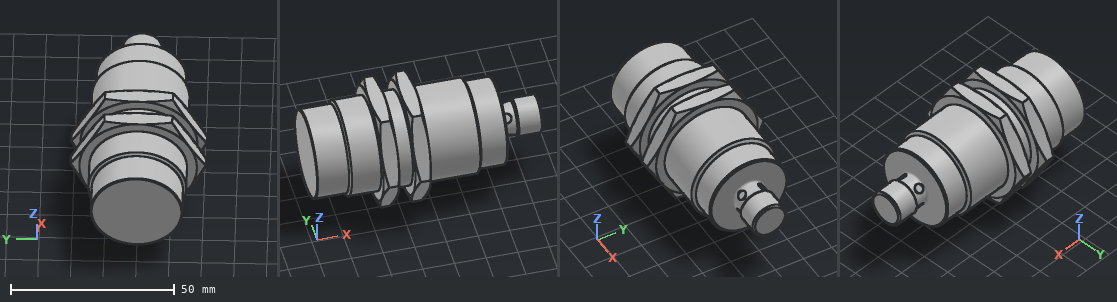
import cadquery as cq
import math

total_length = 73.5

cap_diameter = 28.0
cap_length = 10.1
cap_edge_chamfer = 0.2

barrel_diameter = 30.0
barrel_end = 52.0
barrel_chamfer_length = 0.65

sleeve_diameter = 27.5
sleeve_end = 60.6
sleeve_chamfer = 0.45

neck_diameter = 10.6
neck_fillet = 0.8
plug_diameter = 12.0
plug_length = 7.6
plug_chamfer_length = 0.45

light_count = 4
light_diameter = 3.0
light_edge_gap = 0.45
light_seat_height = 5.0

nut_width = 36.0
nut_thickness = 5.0
nut_starts = (20.0, 30.0)
nut_chamfer_angle = 20.0


def make_body():
    """Turned body: half outline in the XY plane, revolved about X."""
    cap_radius = cap_diameter / 2
    barrel_radius = barrel_diameter / 2
    sleeve_radius = sleeve_diameter / 2
    neck_radius = neck_diameter / 2
    plug_radius = plug_diameter / 2
    plug_start = total_length - plug_length
    fillet_middle = neck_fillet * (1 - math.sqrt(0.5))
    outline = (
        cq.Workplane("XY")
        .moveTo(0, 0)
        .lineTo(0, cap_radius - cap_edge_chamfer)
        .lineTo(cap_edge_chamfer, cap_radius)
        .lineTo(cap_length, cap_radius)
        .lineTo(cap_length + barrel_chamfer_length, barrel_radius)
        .lineTo(barrel_end - barrel_chamfer_length, barrel_radius)
        .lineTo(barrel_end, sleeve_radius)
        .lineTo(sleeve_end - sleeve_chamfer, sleeve_radius)
        .lineTo(sleeve_end, sleeve_radius - sleeve_chamfer)
        .lineTo(sleeve_end, neck_radius + neck_fillet)
        .threePointArc(
            (sleeve_end + fillet_middle, neck_radius + fillet_middle),
            (sleeve_end + neck_fillet, neck_radius),
        )
        .lineTo(plug_start - plug_chamfer_length, neck_radius)
        .lineTo(plug_start, plug_radius)
        .lineTo(total_length - plug_chamfer_length, plug_radius)
        .lineTo(total_length, neck_radius)
        .lineTo(total_length, 0)
        .close()
    )
    return outline.revolve(360, (0, 0, 0), (1, 0, 0))


def make_nut(start):
    """Hexagonal nut with both faces chamfered down to a circle as wide as the flats."""
    corner_radius = nut_width / 2 / math.cos(math.pi / 6)
    face_radius = nut_width / 2
    chamfer_length = (corner_radius - face_radius) * math.tan(math.radians(nut_chamfer_angle))
    end = start + nut_thickness
    hexagon = (
        cq.Workplane("YZ", origin=(start, 0, 0))
        .polygon(6, 2 * corner_radius)
        .extrude(nut_thickness)
    )
    chamfered_disc = (
        cq.Workplane("XY")
        .moveTo(start, 0)
        .lineTo(start, face_radius)
        .lineTo(start + chamfer_length, corner_radius)
        .lineTo(end - chamfer_length, corner_radius)
        .lineTo(end, face_radius)
        .lineTo(end, 0)
        .close()
        .revolve(360, (0, 0, 0), (1, 0, 0))
    )
    return hexagon.intersect(chamfered_disc)


def make_light_seats():
    """Cutters for the flat seats, set midway between the Y and Z axes."""
    light_radius = light_diameter / 2
    light_position = sleeve_end + light_edge_gap + light_radius
    seat = (
        cq.Workplane("XY", origin=(light_position, 0, light_seat_height))
        .circle(light_radius)
        .extrude(neck_fillet + neck_diameter / 2 - light_seat_height)
    )
    step = 360 / light_count
    return [seat.rotate((0, 0, 0), (1, 0, 0), step * (i + 0.5)) for i in range(light_count)]


result = make_body()
for nut_start in nut_starts:
    result = result.union(make_nut(nut_start))
for light_seat in make_light_seats():
    result = result.cut(light_seat)